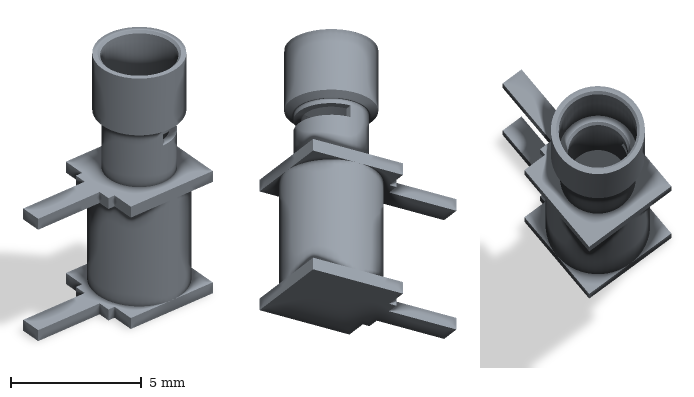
import cadquery as cq

plate_size = 4.0
plate_thickness = 0.5
shoulder_width = 2.0
shoulder_length = 0.3
pin_width = 0.92
pin_length = 3.0

barrel_diameter = plate_size
barrel_height = 4.6
neck_diameter = 2.9
neck_height = 2.4
collar_diameter = 3.6
collar_height = 2.8
collar_chamfer_width = 0.3
collar_chamfer_height = 0.2

socket_diameter = 3.0
socket_depth = 2.4
bore_diameter = 2.3
lead_in = 0.1

slot_height = 0.5
slot_drop = 0.2

upper_plate_z = plate_thickness + barrel_height
neck_z = upper_plate_z + plate_thickness
collar_z = neck_z + neck_height
top_z = collar_z + collar_height
socket_floor_z = top_z - socket_depth
slot_top_z = collar_z - slot_drop


def cylinder(diameter, bottom_z, height):
    return cq.Workplane("XY").workplane(offset=bottom_z).circle(diameter / 2).extrude(height)


def plate_with_pin(bottom_z):
    edge_y = -plate_size / 2
    shoulder_y = edge_y - shoulder_length
    pin_tip_y = shoulder_y - pin_length
    half_outline = [
        (0, plate_size / 2),
        (plate_size / 2, plate_size / 2),
        (plate_size / 2, edge_y),
        (shoulder_width / 2, edge_y),
        (shoulder_width / 2, shoulder_y),
        (pin_width / 2, shoulder_y),
        (pin_width / 2, pin_tip_y),
        (0, pin_tip_y),
    ]
    return (
        cq.Workplane("XY")
        .workplane(offset=bottom_z)
        .polyline(half_outline)
        .mirrorY()
        .extrude(plate_thickness)
    )


def collar():
    body = cylinder(collar_diameter, collar_z, collar_height)
    return body.faces("<Z").chamfer(collar_chamfer_height, collar_chamfer_width)


def countersunk_bore(diameter, floor_z, mouth_z):
    """Cutter for a blind bore whose mouth widens by the lead-in chamfer."""
    radius = diameter / 2
    profile = [
        (0, floor_z),
        (radius, floor_z),
        (radius, mouth_z - lead_in),
        (radius + lead_in, mouth_z),
        (0, mouth_z),
    ]
    return cq.Workplane("XZ").polyline(profile).close().revolve(360, (0, 0), (0, 1))


def neck_slot():
    return (
        cq.Workplane("XY")
        .workplane(offset=slot_top_z - slot_height)
        .rect(neck_diameter, neck_diameter)
        .extrude(slot_height)
        .translate((0, neck_diameter / 2, 0))
    )


result = (
    plate_with_pin(0)
    .union(cylinder(barrel_diameter, plate_thickness, barrel_height))
    .union(plate_with_pin(upper_plate_z))
    .union(cylinder(neck_diameter, neck_z, neck_height))
    .union(collar())
    .cut(neck_slot())
    .cut(countersunk_bore(socket_diameter, socket_floor_z, top_z))
    .cut(countersunk_bore(bore_diameter, neck_z, socket_floor_z))
)